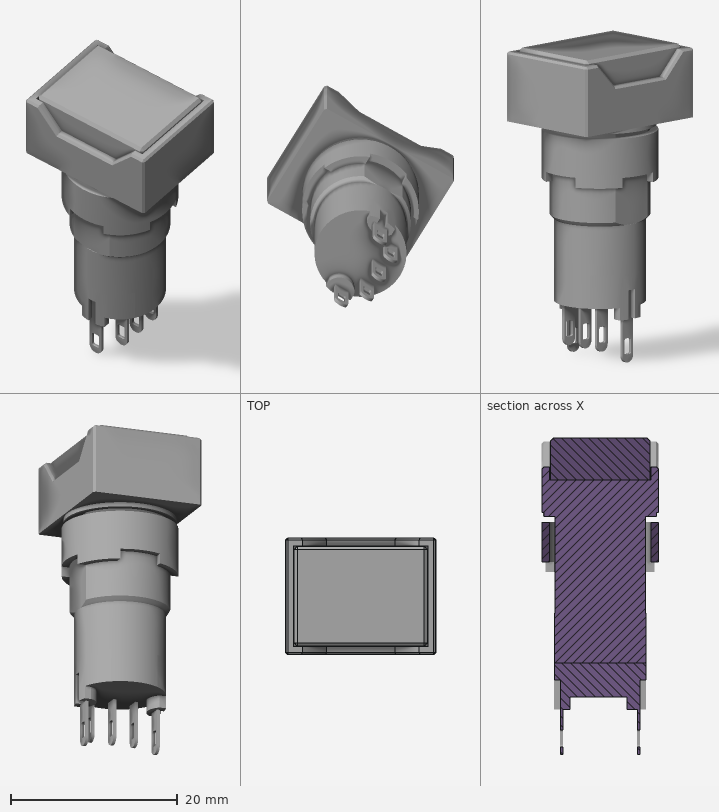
import cadquery as cq

LENS_TOP = 38.0
FRAME_TOP = 37.5
FRAME_BOTTOM = 29.05
FLANGE_BOTTOM = 28.5
NUT_TOP = 27.9
NUT_BOTTOM = 21.9
BARREL_BOTTOM = 17.0
BLOCK_TOP = 11.0
HOUSING_BOTTOM = 6.9
TAB_BOTTOM = 5.4
SHORT_TERMINAL_TIP = 1.4
LONG_TERMINAL_TIP = 0.0

FRAME_X = 18.0
FRAME_Y = 14.0
FRAME_CHAMFER = 0.25
WALL = 0.95
RECESS_DEPTH = 4.55
NOTCH_TOP_WIDTH = 14.0
NOTCH_BOTTOM_WIDTH = 8.2
NOTCH_DEPTH = 3.0

LENS_GAP = 0.08
LENS_CHAMFER = 0.38

FLANGE_RADIUS = 6.8
BARREL_RADIUS = 6.05
BARREL_ACROSS_FLATS = 10.85
REAR_RADIUS = 5.5

NUT_RADIUS = 7.0
NUT_SLOT_WIDTH = 5.1
NUT_SLOT_DEPTH = 1.2

BLOCK_WIDTH = 9.25
TAB_WIDTH = 3.42
FRONT_TAB_INNER_Y = 3.57
BACK_TAB_INNER_Y = 3.2
TAB_STRAIGHT_Y = 4.4
TAB_SLOT_WIDTH = 1.05
TAB_SLOT_TOP = 8.95

TERMINAL_WIDTH = 1.8
TERMINAL_THICKNESS = 0.38
EYE_WIDTH = 1.05
EYE_LENGTH = 1.98
EYE_CORNER_RADIUS = 0.23
LONG_EYE_ABOVE_TIP = 1.0
SHORT_EYE_ABOVE_TIP = 1.05
LONG_TERMINAL_Y = 4.6
SHORT_TERMINAL_X = 2.5
SHORT_TERMINAL_PITCH = 2.8

RECESS_FLOOR = FRAME_TOP - RECESS_DEPTH
OPENING_X = FRAME_X - 2 * WALL
OPENING_Y = FRAME_Y - 2 * WALL


def disc(radius, bottom, top):
    return cq.Workplane("XY").workplane(offset=bottom).circle(radius).extrude(top - bottom)


def block(size_x, size_y, bottom, top):
    return cq.Workplane("XY").workplane(offset=bottom).rect(size_x, size_y).extrude(top - bottom)


def make_frame():
    """Chamfered rectangular frame with a tapered notch in both long walls and a recess for the lens."""
    half_top = NOTCH_TOP_WIDTH / 2
    half_bottom = NOTCH_BOTTOM_WIDTH / 2
    notch_floor = FRAME_TOP - NOTCH_DEPTH
    notch = (
        cq.Workplane("XZ")
        .polyline([
            (-half_top, FRAME_TOP),
            (-half_bottom, notch_floor),
            (half_bottom, notch_floor),
            (half_top, FRAME_TOP),
        ])
        .close()
        .extrude(FRAME_Y / 2, both=True)
    )
    frame = block(FRAME_X, FRAME_Y, FRAME_BOTTOM, FRAME_TOP).cut(notch)
    frame = frame.faces("<X or >X or <Y or >Y").edges("not <Z").chamfer(FRAME_CHAMFER)
    return frame.cut(block(OPENING_X, OPENING_Y, RECESS_FLOOR, FRAME_TOP))


def make_block_envelope():
    """Slab across the bottom of the rear cylinder, shared by the terminal block and its pocket."""
    slab = block(BLOCK_WIDTH, 2 * REAR_RADIUS, HOUSING_BOTTOM, BLOCK_TOP)
    return slab.intersect(disc(REAR_RADIUS, HOUSING_BOTTOM, BLOCK_TOP))


def make_housing():
    """Frame, flange, flatted barrel and rear cylinder in one piece."""
    flange = disc(FLANGE_RADIUS, FLANGE_BOTTOM, FRAME_BOTTOM)
    barrel = disc(BARREL_RADIUS, BARREL_BOTTOM, FLANGE_BOTTOM)
    barrel = barrel.faces("<Z").chamfer(BARREL_RADIUS - REAR_RADIUS)
    flats = block(2 * BARREL_RADIUS, BARREL_ACROSS_FLATS, BARREL_BOTTOM, FLANGE_BOTTOM)
    rear = disc(REAR_RADIUS, HOUSING_BOTTOM, BARREL_BOTTOM)
    rear = rear.cut(make_block_envelope())
    return make_frame().union(flange).union(barrel.intersect(flats)).union(rear)


def make_lens():
    """Rectangular cap standing on the recess floor, chamfered around its top and corners."""
    lens = block(OPENING_X - 2 * LENS_GAP, OPENING_Y - 2 * LENS_GAP, RECESS_FLOOR, LENS_TOP)
    return lens.edges("|Z or >Z").chamfer(LENS_CHAMFER)


def make_nut():
    """Ring with four slots across its lower end."""
    nut = disc(NUT_RADIUS, NUT_BOTTOM, NUT_TOP).cut(disc(BARREL_RADIUS, NUT_BOTTOM, NUT_TOP))
    slot_top = NUT_BOTTOM + NUT_SLOT_DEPTH
    nut = nut.cut(block(NUT_SLOT_WIDTH, 2 * NUT_RADIUS, NUT_BOTTOM, slot_top))
    return nut.cut(block(2 * NUT_RADIUS, NUT_SLOT_WIDTH, NUT_BOTTOM, slot_top))


def make_terminal(x, y, tip, eye_above_tip):
    """Flat blade facing Y with a round tip and an oblong eye; its upper end is buried in the block."""
    top = TAB_SLOT_TOP
    half_width = TERMINAL_WIDTH / 2
    blade = (
        cq.Workplane("XZ")
        .moveTo(-half_width, top)
        .lineTo(-half_width, tip + half_width)
        .threePointArc((0, tip), (half_width, tip + half_width))
        .lineTo(half_width, top)
        .close()
        .extrude(TERMINAL_THICKNESS / 2, both=True)
    )
    eye = (
        cq.Workplane("XZ")
        .center(0, tip + eye_above_tip + EYE_LENGTH / 2)
        .rect(EYE_WIDTH, EYE_LENGTH)
        .extrude(TERMINAL_THICKNESS / 2, both=True)
        .edges("|Y")
        .fillet(EYE_CORNER_RADIUS)
    )
    return blade.cut(eye).translate((x, y, 0))


def make_tab(inner_y):
    """Tab below the -Y side of the block, rounded towards the middle and ending at inner_y from it."""
    half_width = TAB_WIDTH / 2
    tab = (
        cq.Workplane("XY")
        .workplane(offset=TAB_BOTTOM)
        .moveTo(-half_width, -REAR_RADIUS)
        .lineTo(-half_width, -TAB_STRAIGHT_Y)
        .threePointArc((0, -inner_y), (half_width, -TAB_STRAIGHT_Y))
        .lineTo(half_width, -REAR_RADIUS)
        .close()
        .extrude(HOUSING_BOTTOM - TAB_BOTTOM)
    )
    return tab.intersect(disc(REAR_RADIUS, TAB_BOTTOM, HOUSING_BOTTOM))


def make_terminal_block():
    """Slab with two slotted tabs, two long terminals behind the slots and a row of three short ones."""
    body = make_block_envelope()
    body = body.union(make_tab(FRONT_TAB_INNER_Y))
    body = body.union(make_tab(BACK_TAB_INNER_Y).mirror("XZ"))
    slot_depth = REAR_RADIUS - LONG_TERMINAL_Y
    slot = block(TAB_SLOT_WIDTH, slot_depth, TAB_BOTTOM, TAB_SLOT_TOP)
    for side in (-1, 1):
        body = body.cut(slot.translate((0, side * (REAR_RADIUS - slot_depth / 2), 0)))
        body = body.union(make_terminal(0, side * LONG_TERMINAL_Y, LONG_TERMINAL_TIP, LONG_EYE_ABOVE_TIP))
    for step in (-1, 0, 1):
        y = step * SHORT_TERMINAL_PITCH
        body = body.union(make_terminal(SHORT_TERMINAL_X, y, SHORT_TERMINAL_TIP, SHORT_EYE_ABOVE_TIP))
    return body


housing = make_housing()
lens = make_lens()
lock_nut = make_nut()
terminal_block = make_terminal_block()

result = cq.Compound.makeCompound([
    housing.val(),
    lens.val(),
    lock_nut.val(),
    terminal_block.val(),
])